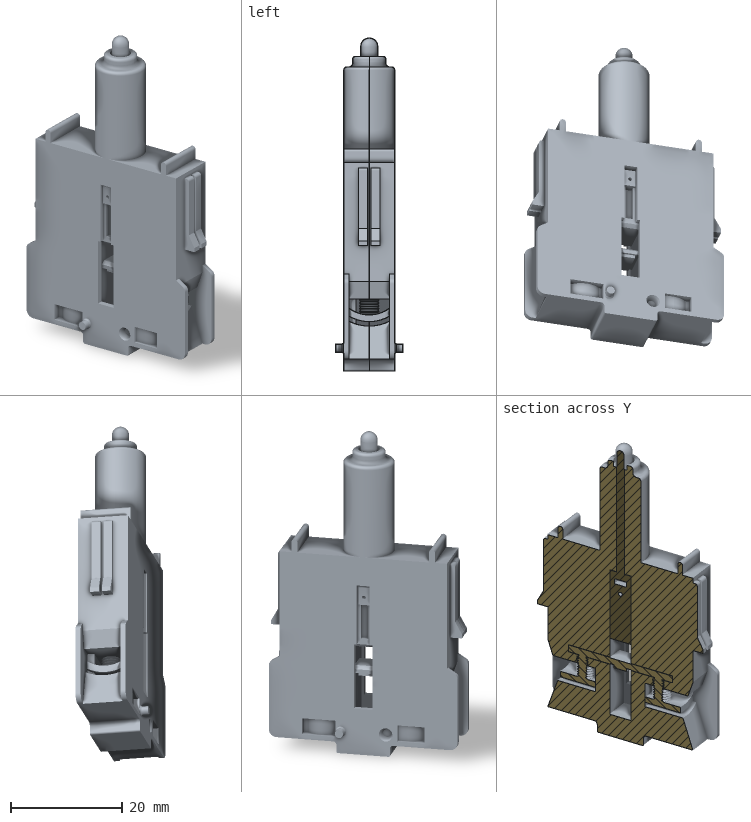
import cadquery as cq
import math

HALF_THICK = 4.6
BODY_HALF_W = 15.45
BODY_TOP = 37.5
WING_HALF_W = 17.42
WING_CORNER_Z = 16.25
WING_SLOPE_TOP = 17.5
WING_THICK = 0.95
BASE_Z = 2.15
FOOT_HALF_W = 4.95
BASE_CORNER_R = 1.4
WING_CORNER_R = 1.0
FOOT_ROOT_R = 0.6
FOOT_EDGE_R = 0.3

TUBE_R = 4.6
TUBE_TOP = 54.7
TUBE_ROUND = 0.6
NECK_R = 3.0
NECK_TOP = 56.6
NECK_ROUND = 0.55
NECK_ROOT_R = 0.65
MOUTH_R = 3.8 / 2
MOUTH_DEPTH = 1.0

RIB_X = 12.7
RIB_W = 1.1
RIB_TOP = 39.95

CLIP_INNER_Y = 0.28
CLIP_OUTER_Y = 1.9
CLIP_BAR_X = 16.36
CLIP_TIP_X = 17.6
CLIP_TOP = 36.55
CLIP_RAMP_TOP = 25.6
CLIP_RAMP_BOTTOM = 23.4
CLIP_BOTTOM = 22.6
CLIP_ROUND = 0.5

CORE_HALF_THICK = HALF_THICK - WING_THICK
LEAD_TOP_Z = 16.1
CHAMBER_TOP = 12.95
SLOPE = math.tan(math.radians(19.4))
CHAMBER_INNER_X = 5.3
JAMB_OUTER_X = 11.5
JAMB_INNER_Y = 2.4
TROUGH_AXIS_Z = 16.1
TROUGH_R = 8.0

CHAMBER_HALF_W = 2.2
CHAMBER_HALF_Y = 3.5
CHAMBER_FLOOR = 4.5
WINDOW_HALF_W = 1.72
WINDOW_BOTTOM = 8.65
WINDOW_TOP = 20.9
SLIT_HALF_W = 1.2
SLIT_TOP = 32.1

SHAFT_X = 8.05
SHAFT_R = 4.0
SHAFT_FLAT_X = 8.2
OPENING_Z = (3.05, 6.1)
OPENING_DEPTH = 1.5
LONG_OPENING_X = (-11.3, -5.1)
SHORT_OPENING_X = (6.35, 11.3)

PEG_X = 4.15
PEG_Z = 4.12
PEG_R = 1.5 / 2
PEG_REACH = 12.1 / 2
PEG_COLLAR_R = 0.95
PEG_COLLAR_H = 0.3
SOCKET_R = 1.25
SOCKET_FLOOR_R = 0.75
SOCKET_DEPTH = 1.2

ROD_R = 3.1 / 2
PLUNGER_TOP = 59.9
SLIDER_TOP = 34.0
SLIDER_BOTTOM = 20.0
SLIDER_BEVEL = 0.6
SLIDER_GAP_TOP = 32.5
PLATE_TOP = 31.55
PLATE_BOTTOM = 28.3
PLATE_HALF_W = 1.04
PLATE_RISE = 0.55
PLATE_HOLE_D = 0.7
PLATE_HOLE_Z = 29.7
GROOVE_HALF_W = 0.68
GROOVE_BOTTOM = 21.65
GROOVE_DEPTH = 1.0

BAR_HALF_L = 11.0
BAR_HALF_Y = 2.6
BAR_TOP = 16.08
BAR_BOTTOM = 14.8
BAR_BEVEL = 0.6
BAR_PAD_HALF_W = 1.4
BAR_PAD_HALF_Y = 2.2
BAR_PAD_BOTTOM = 14.2
THREAD_R = 3.5 / 2
THREAD_DEPTH = 0.25
THREAD_PITCH = 0.5
SADDLE_R_IN = 6.0
SADDLE_R_OUT = 7.2
SADDLE_OUTER_X = 12.75
SADDLE_CORNER_R = 0.8
SADDLE_HALF_Y = CORE_HALF_THICK


def block(x_range, y_range, z_range):
    """Axis-aligned box between the given limits."""
    size = [high - low for low, high in (x_range, y_range, z_range)]
    corner = (x_range[0], y_range[0], z_range[0])
    return cq.Workplane("XY").box(*size, centered=False).translate(corner)


def both_sides(shape):
    """The shape together with its mirror image about X = 0."""
    return shape.union(shape.mirror("YZ"))


def plate_in_xz(points, y_low, y_high):
    """Outline in X and Z, extruded from y_low to y_high."""
    return cq.Workplane("XZ", origin=(0, y_high, 0)).polyline(points).close().extrude(y_high - y_low)


def symmetric(points):
    """Right-hand outline points, completed with their mirror images about X = 0."""
    return points + [(-x, z) for x, z in reversed(points)]


def y_edges_at(x, z):
    """Selects the edges along Y that pass near (x, z) and (-x, z)."""
    reach = 0.1
    boxes = [
        cq.selectors.BoxSelector((s * x - reach, -10, z - reach), (s * x + reach, 10, z + reach))
        for s in (-1, 1)
    ]
    return boxes[0] + boxes[1]


def housing_wall():
    wall = plate_in_xz(
        symmetric([
            (FOOT_HALF_W, 0),
            (FOOT_HALF_W, BASE_Z),
            (WING_HALF_W, BASE_Z),
            (WING_HALF_W, WING_CORNER_Z),
            (BODY_HALF_W, WING_SLOPE_TOP),
            (BODY_HALF_W, BODY_TOP),
        ]),
        -HALF_THICK, -CORE_HALF_THICK)
    wall = wall.edges(y_edges_at(WING_HALF_W, BASE_Z)).fillet(BASE_CORNER_R)
    wall = wall.edges(y_edges_at(WING_HALF_W, WING_CORNER_Z)).fillet(WING_CORNER_R)
    return round_foot(wall)


def round_foot(shape):
    shape = shape.edges(y_edges_at(FOOT_HALF_W, BASE_Z)).fillet(FOOT_ROOT_R)
    return shape.edges(y_edges_at(FOOT_HALF_W, 0)).fillet(FOOT_EDGE_R)


def housing_core():
    lead_in = (LEAD_TOP_Z - CHAMBER_TOP) * SLOPE
    ramp_in = (CHAMBER_TOP - BASE_Z) * SLOPE
    core = plate_in_xz(
        symmetric([
            (FOOT_HALF_W, 0),
            (FOOT_HALF_W, BASE_Z),
            (BODY_HALF_W, BASE_Z),
            (BODY_HALF_W - ramp_in, CHAMBER_TOP),
            (BODY_HALF_W - lead_in, CHAMBER_TOP),
            (BODY_HALF_W, LEAD_TOP_Z),
            (BODY_HALF_W, BODY_TOP),
        ]),
        -CORE_HALF_THICK, 0)
    return round_foot(core)


def terminal_chambers():
    """Chambers with a dished floor, open to the sides; a jamb narrows the +X one."""
    length = WING_HALF_W - CHAMBER_INNER_X
    floor = cq.Workplane("YZ").center(0, TROUGH_AXIS_Z).circle(TROUGH_R).extrude(length)
    floor = floor.translate((CHAMBER_INNER_X, 0, 0))
    space = block((CHAMBER_INNER_X, WING_HALF_W), (-CORE_HALF_THICK, 0), (BASE_Z, CHAMBER_TOP))
    jamb = block(
        (CHAMBER_INNER_X, JAMB_OUTER_X), (-CORE_HALF_THICK, -JAMB_INNER_Y), (BASE_Z, CHAMBER_TOP))
    return both_sides(space.intersect(floor)).cut(jamb)


def guide_tube():
    """Half of the round tube and its neck, in front of the parting plane."""
    tube = (
        cq.Workplane("XZ")
        .moveTo(0, BODY_TOP)
        .lineTo(TUBE_R, BODY_TOP)
        .lineTo(TUBE_R, TUBE_TOP - TUBE_ROUND)
        .radiusArc((TUBE_R - TUBE_ROUND, TUBE_TOP), -TUBE_ROUND)
        .lineTo(NECK_R + NECK_ROOT_R, TUBE_TOP)
        .radiusArc((NECK_R, TUBE_TOP + NECK_ROOT_R), NECK_ROOT_R)
        .lineTo(NECK_R, NECK_TOP - NECK_ROUND)
        .radiusArc((NECK_R - NECK_ROUND, NECK_TOP), -NECK_ROUND)
        .lineTo(0, NECK_TOP)
        .close()
        .revolve(360, (0, 0, 0), (0, 1, 0))
    )
    mouth = cq.Workplane("XY").workplane(offset=NECK_TOP - MOUTH_DEPTH).circle(MOUTH_R).extrude(MOUTH_DEPTH)
    front = block((-TUBE_R, TUBE_R), (-TUBE_R, 0), (BODY_TOP, NECK_TOP))
    return tube.cut(mouth).intersect(front)


def top_ribs():
    tip_r = RIB_W / 2
    rib = (
        cq.Workplane("XZ")
        .moveTo(RIB_X - tip_r, BODY_TOP)
        .lineTo(RIB_X - tip_r, RIB_TOP - tip_r)
        .threePointArc((RIB_X, RIB_TOP), (RIB_X + tip_r, RIB_TOP - tip_r))
        .lineTo(RIB_X + tip_r, BODY_TOP)
        .close()
        .extrude(HALF_THICK)
    )
    return both_sides(rib)


def latch_clips():
    clip = plate_in_xz(
        [
            (BODY_HALF_W, CLIP_BOTTOM),
            (CLIP_TIP_X, CLIP_BOTTOM),
            (CLIP_TIP_X, CLIP_RAMP_BOTTOM),
            (CLIP_BAR_X, CLIP_RAMP_TOP),
            (CLIP_BAR_X, CLIP_TOP),
            (BODY_HALF_W, CLIP_TOP),
        ],
        -CLIP_OUTER_Y, -CLIP_INNER_Y)
    return both_sides(clip.edges(y_edges_at(CLIP_BAR_X, CLIP_TOP)).fillet(CLIP_ROUND))


def central_window():
    chamber = block(
        (-CHAMBER_HALF_W, CHAMBER_HALF_W), (-CHAMBER_HALF_Y, 0), (CHAMBER_FLOOR, SLIDER_TOP))
    window = block((-WINDOW_HALF_W, WINDOW_HALF_W), (-HALF_THICK, 0), (WINDOW_BOTTOM, WINDOW_TOP))
    slit = block((-SLIT_HALF_W, SLIT_HALF_W), (-HALF_THICK, 0), (WINDOW_TOP, SLIT_TOP))
    return chamber.union(window).union(slit)


def shaft_openings():
    """Shallow openings whose backs follow the round walls of the screw shafts."""
    y_range = (-HALF_THICK, -HALF_THICK + OPENING_DEPTH)
    openings = block(LONG_OPENING_X, y_range, OPENING_Z).union(block(SHORT_OPENING_X, y_range, OPENING_Z))
    shafts = cq.Workplane("XY").pushPoints([(-SHAFT_X, 0), (SHAFT_X, 0)]).circle(SHAFT_R).extrude(BODY_TOP)
    flat_wall = block((SHORT_OPENING_X[0], SHAFT_FLAT_X), (-SHAFT_R, 0), OPENING_Z)
    return openings.cut(shafts).cut(flat_wall)


def peg():
    collar = (
        cq.Workplane("XZ", origin=(-PEG_X, -HALF_THICK, PEG_Z))
        .circle(PEG_COLLAR_R)
        .workplane(offset=PEG_COLLAR_H)
        .circle(PEG_R)
        .loft()
    )
    pin = cq.Workplane("XZ", origin=(-PEG_X, -HALF_THICK, PEG_Z)).circle(PEG_R).extrude(PEG_REACH - HALF_THICK)
    return collar.union(pin)


def socket():
    return (
        cq.Workplane("XZ", origin=(PEG_X, -HALF_THICK, PEG_Z))
        .circle(SOCKET_R)
        .workplane(offset=-SOCKET_DEPTH)
        .circle(SOCKET_FLOOR_R)
        .loft()
    )


def housing_half(inner_bodies):
    half = housing_wall().union(housing_core()).cut(terminal_chambers())
    half = half.union(guide_tube()).union(top_ribs()).union(latch_clips()).union(peg())
    half = half.cut(central_window()).cut(shaft_openings()).cut(socket())
    for body in inner_bodies:
        half = half.cut(body)
    return half


def plunger_body():
    rod = (
        cq.Workplane("XY", origin=(0, 0, SLIDER_TOP))
        .circle(ROD_R)
        .extrude(PLUNGER_TOP - ROD_R - SLIDER_TOP)
    )
    dome = cq.Workplane("XY", origin=(0, 0, PLUNGER_TOP - ROD_R)).sphere(ROD_R)
    slider = block(
        (-CHAMBER_HALF_W, CHAMBER_HALF_W), (-CHAMBER_HALF_Y, CHAMBER_HALF_Y), (SLIDER_BOTTOM, SLIDER_TOP))
    slider = slider.faces("<Z").edges("|X").chamfer(SLIDER_BEVEL)
    plate_y = CHAMBER_HALF_Y + PLATE_RISE
    plate = block((-PLATE_HALF_W, PLATE_HALF_W), (-plate_y, plate_y), (PLATE_BOTTOM, PLATE_TOP))
    gap = block((-SLIT_HALF_W, SLIT_HALF_W), (-plate_y, plate_y), (PLATE_TOP, SLIDER_GAP_TOP))
    hole = cq.Workplane("XZ", origin=(0, plate_y, PLATE_HOLE_Z)).circle(PLATE_HOLE_D / 2).extrude(2 * plate_y)
    groove = block(
        (-GROOVE_HALF_W, GROOVE_HALF_W),
        (-CHAMBER_HALF_Y, GROOVE_DEPTH - CHAMBER_HALF_Y),
        (GROOVE_BOTTOM, PLATE_BOTTOM))
    grooves = groove.union(groove.mirror("XZ"))
    return slider.union(plate).cut(gap).cut(grooves).cut(hole).union(rod).union(dome)


def contact_bar():
    bar = block((-BAR_HALF_L, BAR_HALF_L), (-BAR_HALF_Y, BAR_HALF_Y), (BAR_BOTTOM, BAR_TOP))
    bar = bar.faces(">Z").edges("|X").chamfer(BAR_BEVEL)
    pad = block(
        (-BAR_PAD_HALF_W, BAR_PAD_HALF_W), (-BAR_PAD_HALF_Y, BAR_PAD_HALF_Y), (BAR_PAD_BOTTOM, BAR_BOTTOM))
    return bar.union(pad)


def terminal_screw():
    """Upright screw whose thread is a row of V-shaped rings."""
    bottom = TROUGH_AXIS_Z - (SADDLE_R_IN + SADDLE_R_OUT) / 2
    turns = math.floor((BAR_BOTTOM - bottom) / THREAD_PITCH)
    root_r = THREAD_R - THREAD_DEPTH
    points = [(0, bottom), (root_r, bottom)]
    for turn in range(turns):
        z = bottom + turn * THREAD_PITCH
        points += [(THREAD_R, z + THREAD_PITCH / 2), (root_r, z + THREAD_PITCH)]
    points += [(root_r, BAR_TOP - BAR_BEVEL), (0, BAR_TOP - BAR_BEVEL)]
    screw = cq.Workplane("XZ").polyline(points).close().revolve(360, (0, 0, 0), (0, 1, 0))
    return screw.translate((SHAFT_X, 0, 0))


def clamp_saddle():
    """Dished plate under the screw, concentric with the chamber floor."""
    length = SADDLE_OUTER_X - CHAMBER_INNER_X
    ring = (
        cq.Workplane("YZ", origin=(CHAMBER_INNER_X, 0, TROUGH_AXIS_Z))
        .circle(SADDLE_R_OUT)
        .circle(SADDLE_R_IN)
        .extrude(length)
    )
    outline = block(
        (CHAMBER_INNER_X, SADDLE_OUTER_X), (-SADDLE_HALF_Y, SADDLE_HALF_Y), (BASE_Z, CHAMBER_TOP))
    outline = outline.edges("|Z and >X").fillet(SADDLE_CORNER_R)
    return ring.intersect(outline)


def contact_body():
    return contact_bar().union(both_sides(terminal_screw().union(clamp_saddle())))


plunger = plunger_body()
contact = contact_body()
front_half = housing_half([plunger, contact])
halves = [front_half.rotate((0, 0, 0), (0, 0, 1), angle) for angle in (0, 180)]

result = cq.Compound.makeCompound([*[half.val() for half in halves], plunger.val(), contact.val()])